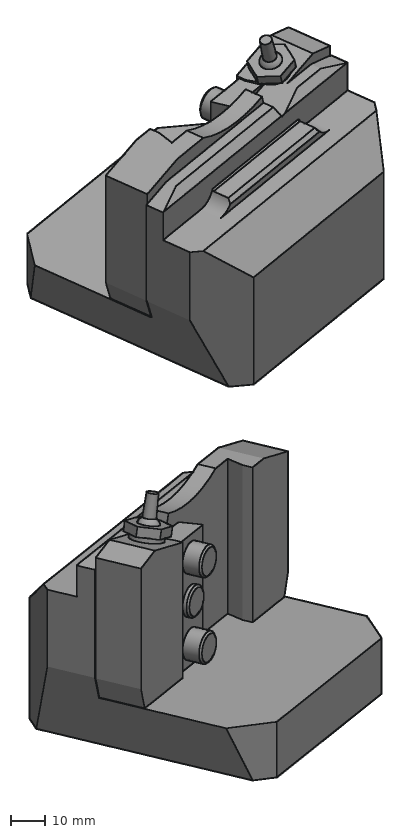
import cadquery as cq
import math

LENGTH = 82.0
WIDTH = 90.0
BOTTOM_WIDTH = 73.8
FLANK_TOP = 25.5
BASE_HEIGHT = 18.0
FACE_HALF = 31.8
SPIGOT_DIAMETER = 45.0
SPIGOT_HEIGHT = 5.0

RIDGE_FRONT = 53.0
RIDGE_BACK = 59.0
RIDGE_TOP = 63.0
RIDGE_CHAMFER = 2.5
RIDGE_END_DROP = 2.6
SHELF_TOP = 50.3
REAR_CHAMFER_X = 10.4
REAR_CHAMFER_Z = 11.25

BLOCK_FRONT = 38.0
BLOCK_HALF = 44.55
BLOCK_FOOT_HALF = 42.3
BLOCK_FLANK_TOP = 25.1
BLOCK_TOP = 68.0
BLOCK_SHOULDER = 64.1
TILT = math.radians(15)
PEAK_Y = 36.2
PEAK_Z = BLOCK_SHOULDER + (BLOCK_HALF - PEAK_Y) * math.tan(TILT)
LEVEL_END_Y = BLOCK_HALF - (BLOCK_TOP - BLOCK_SHOULDER) / math.tan(TILT)
NOTCH_Y = 12.9
NOTCH_Z = PEAK_Z - (PEAK_Y - NOTCH_Y) * math.tan(TILT)
SADDLE_RADIUS = 38.9
SADDLE_LOW = 64.0

RECESS_FLOOR = 47.1
RECESS_RIGHT = -22.95
RECESS_LEFT = 19.2
FLARE_START = 41.2
FLARE = 1.6
JAW_FRONT = 39.0
JAW_BACK = 46.1
JAW_RIGHT = 5.3
JAW_LIP = 0.7
JAW_BOTTOM = 19.1
JAW_TOP = 61.3

SCREW_DIAMETER = 10.0
SCREW_CHAMFER = 0.6
SCREW_Y = 12.5
MIDDLE_SCREW_Z = 40.0
SCREW_PITCH = 13.95
LONG_SCREW_FRONT = 32.9
SHORT_SCREW_FRONT = 37.1

KEY_WIDTH = 7.1
KEY_HEIGHT = 3.5
KEY_TOP_HALF = 21.1
KEY_FOOT_HALF = 26.55
KEY_CHAMFER = 1.3
KEY_ROOT = 0.5

SWITCH_X = 46.5
SWITCH_Y = 25.6
COLLAR_DIAMETER = 10.6
COLLAR_HEIGHT = 1.6
NUT_FLATS = 12.15
NUT_HEIGHT = 3.15
DOME_DIAMETER = 6.8
DOME_HEIGHT = 1.7
LEVER_ROOT_DIAMETER = 4.1
LEVER_TIP_DIAMETER = 3.6
SWITCH_HEIGHT = 14.0

OVERLAP = 0.9
CLEAR = 108.0


def along_x(points, start, end):
    """Prism of a YZ outline from x = start to x = end."""
    return cq.Workplane("YZ").workplane(offset=start).polyline(points).close().extrude(end - start)


def along_z(points, start, end):
    """Prism of an XY outline from z = start to z = end."""
    return cq.Workplane("XY").workplane(offset=start).polyline(points).close().extrude(end - start)


def tapered_envelope():
    """Flanks that lean outward from the base, crossed with an outline that has bevelled corners."""
    half = WIDTH / 2
    foot = BOTTOM_WIDTH / 2
    flanks = along_x(
        [(-foot, 0), (foot, 0), (half, FLANK_TOP), (half, CLEAR), (-half, CLEAR), (-half, FLANK_TOP)],
        0, LENGTH,
    )
    bevel = half - FACE_HALF
    corners = [
        (0, FACE_HALF), (bevel, half), (LENGTH - bevel, half), (LENGTH, FACE_HALF),
        (LENGTH, -FACE_HALF), (LENGTH - bevel, -half), (bevel, -half), (0, -FACE_HALF),
    ]
    return flanks.intersect(along_z(corners, 0, CLEAR))


def stepped_body():
    """Base plate, ridge and shelf, with the ridge ends sloping down."""
    body = (
        cq.Workplane("XZ")
        .polyline([
            (0, 0), (LENGTH, 0), (LENGTH, SHELF_TOP - REAR_CHAMFER_Z),
            (LENGTH - REAR_CHAMFER_X, SHELF_TOP), (RIDGE_BACK, SHELF_TOP),
            (RIDGE_BACK, RIDGE_TOP - RIDGE_CHAMFER), (RIDGE_BACK - RIDGE_CHAMFER, RIDGE_TOP),
            (RIDGE_FRONT, RIDGE_TOP), (RIDGE_FRONT, BASE_HEIGHT), (0, BASE_HEIGHT),
        ])
        .close()
        .extrude(WIDTH / 2, both=True)
    )
    half = WIDTH / 2
    level_half = half - RIDGE_END_DROP / math.tan(TILT)
    end_z = RIDGE_TOP - RIDGE_END_DROP
    for side in (-1, 1):
        wedge = [(side * level_half, RIDGE_TOP), (side * half, end_z), (side * half, RIDGE_TOP)]
        body = body.cut(along_x(wedge, RIDGE_FRONT, RIDGE_BACK))
    return body


def recess_outline():
    return [
        (BLOCK_FRONT, RECESS_RIGHT), (FLARE_START, RECESS_RIGHT), (RECESS_FLOOR, RECESS_RIGHT - FLARE),
        (RECESS_FLOOR, RECESS_LEFT + FLARE), (FLARE_START, RECESS_LEFT), (BLOCK_FRONT, RECESS_LEFT),
    ]


def block():
    """Upright block with a saddle in its top and a dovetail recess in its front."""
    saddle_z = SADDLE_LOW + SADDLE_RADIUS
    saddle_end_y = -math.sqrt(SADDLE_RADIUS**2 - (saddle_z - BLOCK_TOP) ** 2)
    outline = [
        (-BLOCK_FOOT_HALF, BASE_HEIGHT), (BLOCK_FOOT_HALF, BASE_HEIGHT),
        (BLOCK_HALF, BLOCK_FLANK_TOP), (BLOCK_HALF, BLOCK_SHOULDER), (PEAK_Y, PEAK_Z), (PEAK_Y, BLOCK_TOP),
        (-LEVEL_END_Y, BLOCK_TOP), (-BLOCK_HALF, BLOCK_SHOULDER), (-BLOCK_HALF, BLOCK_FLANK_TOP),
    ]
    solid = along_x(outline, BLOCK_FRONT, RIDGE_FRONT)
    saddle = (
        cq.Workplane("YZ")
        .workplane(offset=BLOCK_FRONT)
        .center(0, saddle_z)
        .circle(SADDLE_RADIUS)
        .extrude(RIDGE_FRONT - BLOCK_FRONT)
        .intersect(cq.Workplane("XY").box(CLEAR, 2 * abs(saddle_end_y), 2 * CLEAR))
    )
    recess = along_z(recess_outline(), BASE_HEIGHT, CLEAR)
    return solid.cut(saddle).cut(recess)


def switch_notch():
    """Space above the tilted face, closed by a wall square to it, through block and ridge."""
    rise = CLEAR - NOTCH_Z
    return along_x(
        [(PEAK_Y, PEAK_Z), (NOTCH_Y, NOTCH_Z), (NOTCH_Y - rise * math.tan(TILT), CLEAR), (PEAK_Y, CLEAR)],
        BLOCK_FRONT, RIDGE_BACK,
    )


def jaw():
    """Sliding jaw with one side fitting the recess wall and the other side undercut."""
    slope = FLARE / (RECESS_FLOOR - FLARE_START)
    left_back = RECESS_LEFT + slope * (JAW_BACK - FLARE_START)
    right_back = JAW_RIGHT + slope * (JAW_BACK - JAW_FRONT - JAW_LIP)
    outline = [
        (JAW_FRONT, JAW_RIGHT), (JAW_FRONT + JAW_LIP, JAW_RIGHT), (JAW_BACK, right_back),
        (JAW_BACK, left_back), (FLARE_START, RECESS_LEFT), (JAW_FRONT, RECESS_LEFT),
    ]
    return along_z(outline, JAW_BOTTOM, JAW_TOP)


def screw(front, z):
    return (
        cq.Workplane("YZ")
        .workplane(offset=front)
        .center(SCREW_Y, z)
        .circle(SCREW_DIAMETER / 2)
        .extrude(JAW_FRONT + OVERLAP - front)
        .faces("<X")
        .chamfer(SCREW_CHAMFER)
    )


def key():
    """Key with hollow rounded ends that run out level with the shelf, and a small root at the ridge."""
    run = KEY_FOOT_HALF - KEY_TOP_HALF
    radius = (run**2 + KEY_HEIGHT**2) / (2 * KEY_HEIGHT)
    half_angle = math.atan2(run, radius - KEY_HEIGHT) / 2
    mid_y = KEY_FOOT_HALF - radius * math.sin(half_angle)
    mid_z = SHELF_TOP + radius * (1 - math.cos(half_angle))
    top = SHELF_TOP + KEY_HEIGHT
    back = RIDGE_BACK + KEY_WIDTH
    outline = (
        cq.Workplane("YZ")
        .workplane(offset=RIDGE_BACK)
        .moveTo(-KEY_FOOT_HALF, SHELF_TOP)
        .threePointArc((-mid_y, mid_z), (-KEY_TOP_HALF, top))
        .lineTo(KEY_TOP_HALF, top)
        .threePointArc((mid_y, mid_z), (KEY_FOOT_HALF, SHELF_TOP))
        .lineTo(KEY_FOOT_HALF, SHELF_TOP - OVERLAP)
        .lineTo(-KEY_FOOT_HALF, SHELF_TOP - OVERLAP)
        .close()
        .extrude(KEY_WIDTH)
    )
    bevel = (
        cq.Workplane("XZ")
        .polyline([(back - KEY_CHAMFER, top), (back, top), (back, top - KEY_CHAMFER)])
        .close()
        .extrude(KEY_FOOT_HALF, both=True)
    )
    root = (
        cq.Workplane("XZ")
        .polyline([(RIDGE_BACK, top), (RIDGE_BACK + KEY_ROOT, top), (RIDGE_BACK, top + KEY_ROOT)])
        .close()
        .extrude(KEY_TOP_HALF, both=True)
    )
    return outline.cut(bevel).union(root)


def toggle_switch():
    """Collar, hexagon nut, dome and tapered lever on one axis."""
    nut_top = COLLAR_HEIGHT + NUT_HEIGHT
    dome_top = nut_top + DOME_HEIGHT
    root = LEVER_ROOT_DIAMETER / 2
    dome = DOME_DIAMETER / 2
    center = (dome_top**2 + root**2 - nut_top**2 - dome**2) / (2 * DOME_HEIGHT)
    radius = math.hypot(dome, nut_top - center)
    mid_z = nut_top + DOME_HEIGHT / 2
    mid_r = math.sqrt(radius**2 - (mid_z - center) ** 2)
    turned = (
        cq.Workplane("XZ")
        .moveTo(0, -OVERLAP)
        .lineTo(COLLAR_DIAMETER / 2, -OVERLAP)
        .lineTo(COLLAR_DIAMETER / 2, COLLAR_HEIGHT + NUT_HEIGHT / 2)
        .lineTo(dome, COLLAR_HEIGHT + NUT_HEIGHT / 2)
        .lineTo(dome, nut_top)
        .threePointArc((mid_r, mid_z), (root, dome_top))
        .lineTo(LEVER_TIP_DIAMETER / 2, SWITCH_HEIGHT)
        .lineTo(0, SWITCH_HEIGHT)
        .close()
        .revolve(360, (0, 0, 0), (0, 1, 0))
    )
    nut = (
        cq.Workplane("XY")
        .workplane(offset=COLLAR_HEIGHT)
        .polygon(6, NUT_FLATS / math.cos(math.pi / 6))
        .extrude(NUT_HEIGHT)
        .rotate((0, 0, 0), (0, 0, 1), 90)
    )
    foot_z = PEAK_Z - (PEAK_Y - SWITCH_Y) * math.tan(TILT)
    return (
        turned.union(nut)
        .rotate((0, 0, 0), (1, 0, 0), math.degrees(TILT))
        .translate((SWITCH_X, SWITCH_Y, foot_z))
    )


spigot = (
    cq.Workplane("XY")
    .workplane(offset=-SPIGOT_HEIGHT)
    .center(LENGTH / 2, 0)
    .circle(SPIGOT_DIAMETER / 2)
    .extrude(SPIGOT_HEIGHT + OVERLAP)
)

result = stepped_body().intersect(tapered_envelope()).union(block()).cut(switch_notch())
result = result.union(spigot).union(jaw()).union(key())
result = result.union(screw(SHORT_SCREW_FRONT, MIDDLE_SCREW_Z))
for direction in (-1, 1):
    result = result.union(screw(LONG_SCREW_FRONT, MIDDLE_SCREW_Z + direction * SCREW_PITCH))
result = result.union(toggle_switch())